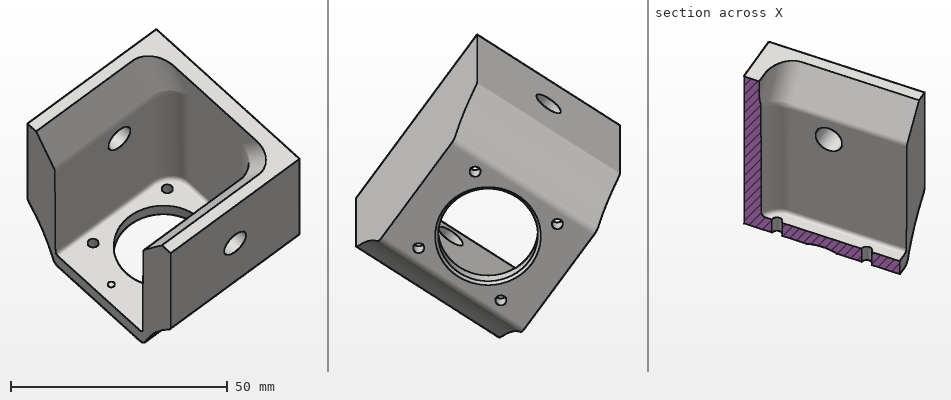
import cadquery as cq

WIDTH = 49.42
DEPTH = 40.0
HEIGHT = 45.9

ARC_TOP = (WIDTH / 2, 15.6)
ARC_MIDDLE = (19.6, 9.1)
ARC_BOTTOM = (16.3, 2.4)
BASE_HALF_WIDTH = 15.35
FLANK_TOP_ROUND = 2.0
BASE_ROUND = 2.0

FLOOR_THICKNESS = 4.2
BACK_WALL = 4.0
CAVITY_FLOOR_HALF_WIDTH = 15.0
CAVITY_KNEE_HALF_WIDTH = 15.25
CAVITY_KNEE_HEIGHT = 37.3
CAVITY_TOP_HALF_WIDTH = 21.7
CAVITY_CORNER_ROUND = 6.0
CAVITY_KNEE_ROUND = 2.0
CAVITY_FLOOR_ROUND = 1.0

BORE = 23.0
BORE_CHAMFER = 0.7
SCREW_HOLE = 2.5
SCREW_SPACING = 23.0
DIMPLE_DIAMETER = 1.62
DIMPLE_DEPTH = 0.1
DIMPLE_Y = -16.2

PIVOT_HOLE = 6.78
PIVOT_HEIGHT = 31.1


def nearest_to(x, y, z):
    return cq.selectors.NearestToPointSelector((x, y, z))


def mirrored(point):
    return (-point[0], point[1])


def make_body():
    outline = (
        cq.Workplane("XZ", origin=(0, DEPTH / 2, 0))
        .moveTo(-WIDTH / 2, HEIGHT)
        .lineTo(WIDTH / 2, HEIGHT)
        .lineTo(*ARC_TOP)
        .threePointArc(ARC_MIDDLE, ARC_BOTTOM)
        .lineTo(BASE_HALF_WIDTH, 0)
        .lineTo(-BASE_HALF_WIDTH, 0)
        .lineTo(*mirrored(ARC_BOTTOM))
        .threePointArc(mirrored(ARC_MIDDLE), mirrored(ARC_TOP))
        .close()
    )
    body = outline.extrude(DEPTH)
    for side in (-1, 1):
        body = body.edges(nearest_to(side * ARC_TOP[0], 0, ARC_TOP[1])).fillet(FLANK_TOP_ROUND)
        body = body.edges(nearest_to(side * BASE_HALF_WIDTH, 0, 0)).fillet(BASE_ROUND)
    return body


def make_cavity():
    half_outline = [
        (CAVITY_FLOOR_HALF_WIDTH, FLOOR_THICKNESS),
        (CAVITY_KNEE_HALF_WIDTH, CAVITY_KNEE_HEIGHT),
        (CAVITY_TOP_HALF_WIDTH, HEIGHT),
    ]
    outline = half_outline + [mirrored(point) for point in reversed(half_outline)]
    length = DEPTH - BACK_WALL
    back = DEPTH / 2 - BACK_WALL
    cavity = cq.Workplane("XZ", origin=(0, back, 0)).polyline(outline).close().extrude(length)

    back_corners = cavity.edges("not |X").edges("not |Y").edges(">Y")
    cavity = back_corners.fillet(CAVITY_CORNER_ROUND)
    for side in (-1, 1):
        knee = nearest_to(side * CAVITY_KNEE_HALF_WIDTH, 0, CAVITY_KNEE_HEIGHT)
        cavity = cavity.edges(knee).fillet(CAVITY_KNEE_ROUND)
    return cavity.faces("<Z").edges("not <Y").fillet(CAVITY_FLOOR_ROUND)


def make_floor_holes():
    base = cq.Workplane("XY")
    bore = base.circle(BORE / 2).extrude(FLOOR_THICKNESS)
    chamfer_radius = BORE / 2 + BORE_CHAMFER
    bore_chamfer = cq.Workplane(
        cq.Solid.makeCone(chamfer_radius, BORE / 2, BORE_CHAMFER)
    )
    screws = (
        base.rect(SCREW_SPACING, SCREW_SPACING, forConstruction=True)
        .vertices()
        .circle(SCREW_HOLE / 2)
        .extrude(FLOOR_THICKNESS)
    )
    dimple = (
        cq.Workplane("XY", origin=(0, DIMPLE_Y, FLOOR_THICKNESS - DIMPLE_DEPTH))
        .circle(DIMPLE_DIAMETER / 2)
        .extrude(DIMPLE_DEPTH)
    )
    return [bore, bore_chamfer, screws, dimple]


def make_pivot_hole():
    side = cq.Workplane("YZ", origin=(-WIDTH / 2, 0, PIVOT_HEIGHT))
    return side.circle(PIVOT_HOLE / 2).extrude(WIDTH)


result = make_body()
for cutter in [make_cavity(), *make_floor_holes(), make_pivot_hole()]:
    result = result.cut(cutter)